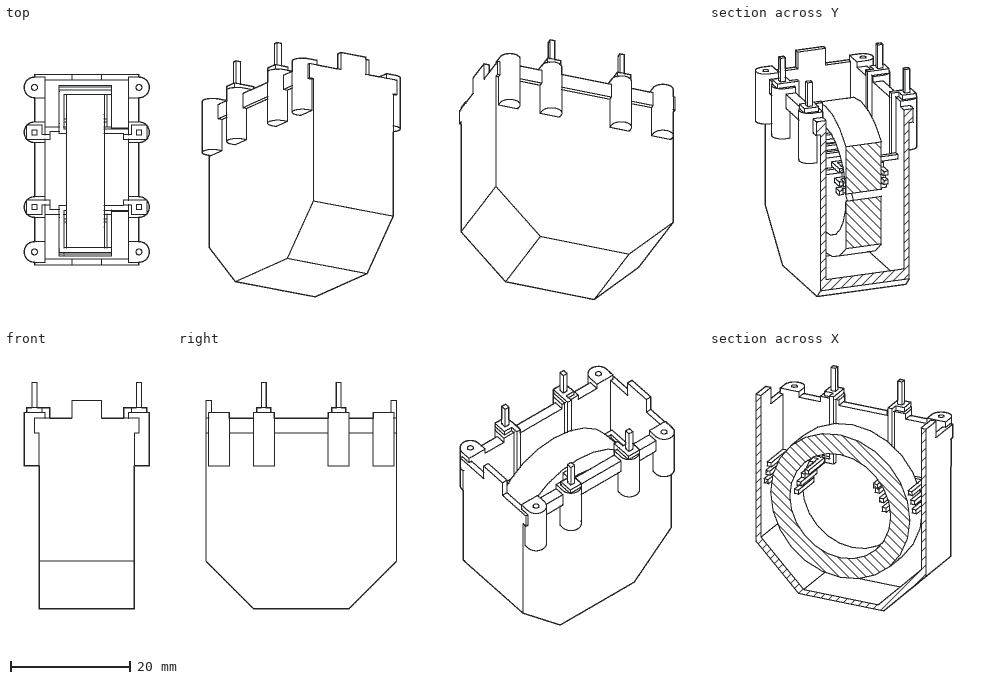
import cadquery as cq

WALL = 1.0
LENGTH = 32.0
OVERALL_WIDTH = 21.0
HALF_LENGTH = LENGTH / 2
BODY_WIDTH = 16.0
BOTTOM_CHAMFER = 8.0
RIM_Z = 32.0
SIDE_WALL = 1.03
CAVITY_WIDTH = BODY_WIDTH - 2 * SIDE_WALL
INNER_X = CAVITY_WIDTH / 2

BAND_HEIGHT = 2.5

TAB_WIDTH = 5.0
TAB_HEIGHT = 3.0

BOSS_RADIUS = 1.75
BOSS_X = OVERALL_WIDTH / 2 - BOSS_RADIUS
BOSS_BOTTOM_Z = 24.0
BOSS_TOP_Z = 33.0
SCREW_BOSS_Y = 13.8
PIN_BOSS_Y = 6.27
SCREW_HOLE_RADIUS = 0.5
SCREW_HOLE_DEPTH = 5.0
BAND_WIDTH = 2 * BOSS_X

CORE_SIDES = 24
CORE_X = -0.23
CORE_Y = -0.15
CORE_Z = 17.65
CORE_WIDTH = 6.4
CORE_RADIUS = 13.1
CORE_BORE_RADIUS = 9.42

WIRE = 0.8
PIN_SIZE_X = 0.9
PIN_SIZE_Y = 0.85
PIN_TOP_Z = 38
PLATE_OUTER_X = 10.07
PLATE_INNER_X = 7.52
PLATE_INNER_Y = 5.1
PLATE_OUTER_Y = 7.5
COIL_TOP_Z = 23.03
COIL_LEFT_X = -4.65
COIL_RIGHT_X = 4.18

LEAD_BORE_Y = 6.85
TOP_RIM_Y = {1: 13.38, -1: 13.87}
LEFT_LEAD_BORE_Y = {1: 7.2, -1: 7.5}
LOWER_BORE_Y = {1: (7.98, 8.5), -1: (8.3, 8.78)}
LOWER_RIM_Y = {1: (13.87, 14.15), -1: (14.15, 14.45)}


def box(x_ends, y_ends, z_ends):
    """Box between two X, two Y and two Z positions, each pair in either order."""
    pairs = [sorted(ends) for ends in (x_ends, y_ends, z_ends)]
    sizes = [high - low for low, high in pairs]
    corner = [low for low, _ in pairs]
    return cq.Workplane("XY").box(*sizes, centered=False).translate(tuple(corner))


def join(pieces):
    """Fuse touching pieces into one solid."""
    joined = pieces[0]
    for piece in pieces[1:]:
        joined = joined.union(piece)
    return joined.clean()


def trough(half_length, width, bottom_z):
    """Solid up to the rim with both bottom end edges chamfered."""
    return (
        cq.Workplane("YZ", origin=(-width / 2, 0, 0))
        .moveTo(-half_length, RIM_Z)
        .lineTo(-half_length, bottom_z + BOTTOM_CHAMFER)
        .lineTo(-half_length + BOTTOM_CHAMFER, bottom_z)
        .lineTo(half_length - BOTTOM_CHAMFER, bottom_z)
        .lineTo(half_length, bottom_z + BOTTOM_CHAMFER)
        .lineTo(half_length, RIM_Z)
        .close()
        .extrude(width)
    )


def boss(side, y):
    """Round boss whose flat flank reaches the cavity wall."""
    height = BOSS_TOP_Z - BOSS_BOTTOM_Z
    round_part = (
        cq.Workplane("XY", origin=(side * BOSS_X, y, BOSS_BOTTOM_Z)).circle(BOSS_RADIUS).extrude(height)
    )
    flank = box(
        (side * INNER_X, side * BOSS_X),
        (y - BOSS_RADIUS, y + BOSS_RADIUS),
        (BOSS_BOTTOM_Z, BOSS_TOP_Z),
    )
    inside = box((-INNER_X, INNER_X), (-HALF_LENGTH, HALF_LENGTH), (BOSS_BOTTOM_Z, BOSS_TOP_Z))
    return round_part.union(flank).cut(inside)


def make_housing():
    shell = trough(HALF_LENGTH, BODY_WIDTH, 0)
    band_x = (-BAND_WIDTH / 2, BAND_WIDTH / 2)
    shell = shell.union(box(band_x, (-HALF_LENGTH, HALF_LENGTH), (RIM_Z - BAND_HEIGHT, RIM_Z)))
    shell = shell.cut(trough(HALF_LENGTH - WALL, CAVITY_WIDTH, WALL))
    for end in (-1, 1):
        tab_y = (end * HALF_LENGTH, end * (HALF_LENGTH - WALL))
        tab_x = (-TAB_WIDTH / 2, TAB_WIDTH / 2)
        shell = shell.union(box(tab_x, tab_y, (RIM_Z, RIM_Z + TAB_HEIGHT)))
        for side in (-1, 1):
            shell = shell.union(boss(side, end * PIN_BOSS_Y))
            shell = shell.union(boss(side, end * SCREW_BOSS_Y))
    screw_places = [(side * BOSS_X, end * SCREW_BOSS_Y) for side in (-1, 1) for end in (-1, 1)]
    screw_holes = (
        cq.Workplane("XY", origin=(0, 0, BOSS_TOP_Z))
        .pushPoints(screw_places)
        .circle(SCREW_HOLE_RADIUS)
        .extrude(-SCREW_HOLE_DEPTH)
    )
    return shell.cut(screw_holes).clean()


def make_core():
    """Ring with flat facets, corner radii given."""
    return (
        cq.Workplane("YZ", origin=(CORE_X - CORE_WIDTH / 2, CORE_Y, CORE_Z))
        .polygon(CORE_SIDES, 2 * CORE_RADIUS)
        .polygon(CORE_SIDES, 2 * CORE_BORE_RADIUS)
        .extrude(CORE_WIDTH)
    )


def layer_z(layer):
    """Bottom and top of a wire layer, counted down from the coil's top."""
    top = COIL_TOP_Z - layer * WIRE
    return (top - WIRE, top)


def cross_bar(x_ends, end, outward_y, layer):
    """Wire along X, with its outward edge at the given distance from the middle."""
    return box(x_ends, (end * (outward_y - WIRE), end * outward_y), layer_z(layer))


def left_arm(end, bore_y, rim_y, layer):
    """Wire along Y past the core's -X face, from the bore bar to the rim bar."""
    return box((COIL_LEFT_X, COIL_LEFT_X + WIRE), (end * (bore_y - WIRE), end * rim_y), layer_z(layer))


def right_arm(end, bore_y, rim_y, layer):
    """Wire along Y past the core's +X face, from the bore bar to the rim bar."""
    return box((COIL_RIGHT_X - WIRE, COIL_RIGHT_X), (end * (bore_y - WIRE), end * rim_y), layer_z(layer))


def terminal_top(side, end, lead_y, lead_layer):
    """Pin, plate and arm on the boss, and the leg down the cavity wall to the coil lead."""
    plate_z = (BOSS_TOP_Z, BOSS_TOP_Z + WIRE)
    leg_x = (side * (INNER_X - WIRE), side * INNER_X)
    leg_y = (end * PLATE_INNER_Y, end * (PLATE_INNER_Y + WIRE))
    lead_bottom, _ = layer_z(lead_layer)
    pin = box(
        (side * BOSS_X - PIN_SIZE_X / 2, side * BOSS_X + PIN_SIZE_X / 2),
        (end * PIN_BOSS_Y - PIN_SIZE_Y / 2, end * PIN_BOSS_Y + PIN_SIZE_Y / 2),
        (BOSS_TOP_Z, PIN_TOP_Z),
    )
    plate = box(
        (side * PLATE_INNER_X, side * PLATE_OUTER_X),
        (end * PLATE_INNER_Y, end * PLATE_OUTER_Y),
        plate_z,
    )
    arm = box((side * (INNER_X - WIRE), side * PLATE_INNER_X), leg_y, plate_z)
    leg = box(leg_x, leg_y, (lead_bottom, plate_z[1]))
    elbow = box(leg_x, (end * PLATE_INNER_Y, end * lead_y), layer_z(lead_layer))
    return [pin, plate, arm, leg, elbow]


def make_right_terminal(end):
    """Terminal at +X, ending in the open top turn of the coil."""
    rim_y = TOP_RIM_Y[end]
    pieces = terminal_top(1, end, LEAD_BORE_Y, 0)
    pieces.append(cross_bar((COIL_LEFT_X, INNER_X), end, LEAD_BORE_Y, 0))
    pieces.append(left_arm(end, LEAD_BORE_Y, rim_y, 0))
    pieces.append(cross_bar((COIL_LEFT_X, COIL_RIGHT_X), end, rim_y, 0))
    return join(pieces)


def make_left_terminal(end):
    """Terminal at -X, ending in the lower turns, which step down one wire layer every half turn."""
    lead_y = LEFT_LEAD_BORE_Y[end]
    pieces = terminal_top(-1, end, lead_y, 1)
    pieces.append(cross_bar((-INNER_X, COIL_RIGHT_X), end, lead_y, 1))
    start_y = lead_y
    for turn, (bore_y, rim_y) in enumerate(zip(LOWER_BORE_Y[end], LOWER_RIM_Y[end]), start=1):
        outward_layer = 2 * turn
        return_layer = outward_layer + 1
        pieces.append(right_arm(end, start_y, rim_y, outward_layer))
        pieces.append(cross_bar((COIL_LEFT_X, COIL_RIGHT_X), end, rim_y, outward_layer))
        pieces.append(left_arm(end, bore_y, rim_y, return_layer))
        pieces.append(cross_bar((COIL_LEFT_X, COIL_RIGHT_X), end, bore_y, return_layer))
        start_y = bore_y
    return join(pieces)


housing = make_housing()
core = make_core()
right_terminals = [make_right_terminal(end) for end in (-1, 1)]
left_terminals = [make_left_terminal(end) for end in (-1, 1)]

terminals = right_terminals + left_terminals
result = cq.Compound.makeCompound([housing.val(), core.val(), *[t.val() for t in terminals]])